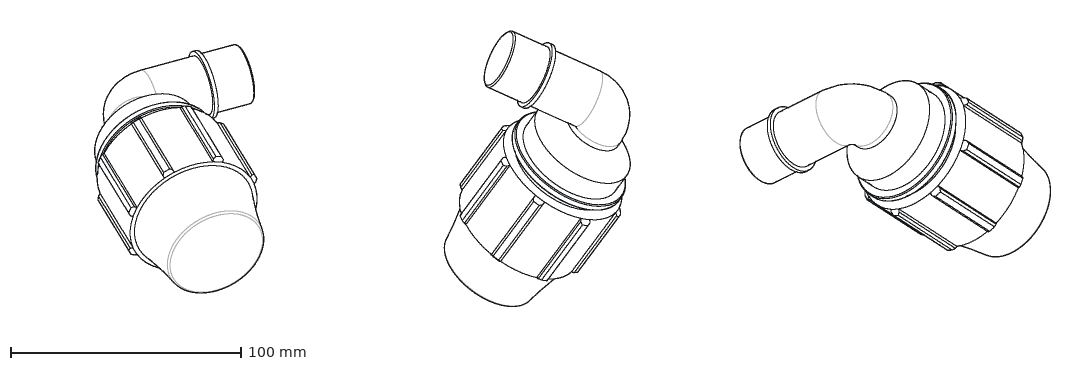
import cadquery as cq
import math


pipe_radius = 13.2
spigot_radius = 13.4
pipe_end_y = 55.1
pipe_end_chamfer = 0.7
collar_radius = 30.4 / 2
collar_start_y = 35.2
collar_width = 1.8
bend_radius = 10.5

cone_start_x = 13.2
cone_end_x = 22.4
flange_start_x = 32.5
flange_end_x = 36.0
nut_start_x = 39.6
nut_end_x = 77.8
overall_length = 119.2
tail_end_x = overall_length - collar_radius
body_radius = 48.0 / 2
flange_radius = 55.7 / 2
flange_chamfer = 0.5
nut_radius = 29.8
tail_start_radius = 27.8
tail_middle_radius = 24.7
tail_end_radius = 22.5
tail_end_fillet = 1.0

rib_count = 8
rib_base_half_width = 2.5
rib_top_half_width = 3.0 / 2
rib_shoulder_radius = 30.9
rib_top_radius = 32.0
rib_embed_depth = 2.4
rib_root_radius = nut_radius - rib_embed_depth
rib_front_bevel = 1.7
rib_back_bevel = 1.1


def make_pipe():
    """Straight pipe along +Y, a thin collar and a slightly wider spigot with a chamfered end."""
    pipe = (
        cq.Workplane("XZ", origin=(0, bend_radius, 0))
        .circle(pipe_radius)
        .extrude(bend_radius - collar_start_y)
    )
    spigot = (
        cq.Workplane("XZ", origin=(0, collar_start_y, 0))
        .circle(spigot_radius)
        .extrude(collar_start_y - pipe_end_y)
        .faces(">Y")
        .chamfer(pipe_end_chamfer)
    )
    collar = (
        cq.Workplane("XZ", origin=(0, collar_start_y, 0))
        .circle(collar_radius)
        .extrude(-collar_width)
    )
    return pipe.union(collar).union(spigot)


def make_bend():
    """Quarter bend tighter than the pipe radius, so its section is cut off at the bend axis."""
    axis_half_chord = math.sqrt(pipe_radius**2 - bend_radius**2)
    return (
        cq.Workplane("XZ", origin=(0, bend_radius, 0))
        .moveTo(bend_radius, axis_half_chord)
        .threePointArc((-pipe_radius, 0), (bend_radius, -axis_half_chord))
        .close()
        .revolve(90, (bend_radius, 0), (bend_radius, 1))
    )


def make_body():
    """Neck, cone, flange, nut and concave tapered tail turned about X."""
    tail_middle_x = (nut_end_x + tail_end_x) / 2
    body = (
        cq.Workplane("XY")
        .moveTo(bend_radius, 0)
        .lineTo(bend_radius, pipe_radius)
        .lineTo(cone_start_x, pipe_radius)
        .lineTo(cone_end_x, body_radius)
        .lineTo(flange_start_x, body_radius)
        .lineTo(flange_start_x, flange_radius - flange_chamfer)
        .lineTo(flange_start_x + flange_chamfer, flange_radius)
        .lineTo(flange_end_x - flange_chamfer, flange_radius)
        .lineTo(flange_end_x, flange_radius - flange_chamfer)
        .lineTo(flange_end_x, body_radius)
        .lineTo(nut_start_x, body_radius)
        .lineTo(nut_start_x, nut_radius)
        .lineTo(nut_end_x, nut_radius)
        .lineTo(nut_end_x, tail_start_radius)
        .threePointArc((tail_middle_x, tail_middle_radius), (tail_end_x, tail_end_radius))
        .lineTo(tail_end_x, 0)
        .close()
        .revolve(360, (0, 0), (1, 0))
    )
    return body.faces(">X").edges().fillet(tail_end_fillet)


def make_rib():
    """One rib along the nut at +Z, with sloping shoulders and bevelled ends."""
    section = (
        cq.Workplane("YZ", origin=(nut_start_x, 0, 0))
        .moveTo(-rib_base_half_width, rib_root_radius)
        .lineTo(-rib_base_half_width, rib_shoulder_radius)
        .lineTo(-rib_top_half_width, rib_top_radius)
        .lineTo(rib_top_half_width, rib_top_radius)
        .lineTo(rib_base_half_width, rib_shoulder_radius)
        .lineTo(rib_base_half_width, rib_root_radius)
        .close()
        .extrude(nut_end_x - nut_start_x)
    )
    side_outline = (
        cq.Workplane("XZ")
        .moveTo(nut_start_x, rib_root_radius)
        .lineTo(nut_start_x, nut_radius)
        .lineTo(nut_start_x + rib_front_bevel, rib_top_radius)
        .lineTo(nut_end_x - rib_back_bevel, rib_top_radius)
        .lineTo(nut_end_x, nut_radius)
        .lineTo(nut_end_x, rib_root_radius)
        .close()
        .extrude(rib_base_half_width, both=True)
    )
    return section.intersect(side_outline)


result = make_body().union(make_bend()).union(make_pipe())

rib_pitch = 360 / rib_count
rib = make_rib()
for index in range(rib_count):
    angle = (index + 0.5) * rib_pitch
    result = result.union(rib.rotate((0, 0, 0), (1, 0, 0), angle))